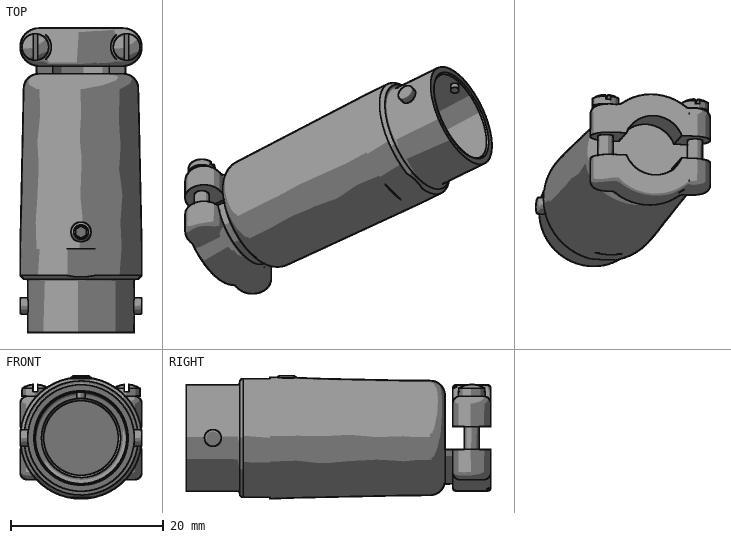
import cadquery as cq
import math


SLEEVE_R = 7.0
SLEEVE_END = 7.0
SLEEVE_ROOT_ROUND = 0.2
COLLAR_R = 8.0
COLLAR_CHAMFER = 0.5
COLLAR_END = 11.0
FLAT_HEIGHT = 7.8

SHELL_REAR_R = 7.55
SHELL_ROUND = 2.0
SHELL_END = 34.0

BORE_R = 6.0
MOUTH_CHAMFER = 0.2
BORE_DEPTH = 8.0
BORE_ROUND = 0.5
RECESS_R = 5.2
RECESS_FLOOR_R = 4.9
KEY_R = 0.55
KEY_Y = 1.05
KEY_TIP_Z = 5.2

PIN_R = 1.1
PIN_Y = 3.5
PIN_TIP_X = COLLAR_R
PIN_ROUND = 0.25

SET_SCREW_Y = 13.2
SET_SCREW_TOP = 8.18
SET_SCREW_R = 1.32
SET_SCREW_END_R = 0.95
SET_SCREW_BEVEL_HEIGHT = 0.24
HEX_FLATS = 1.4
HEX_DEPTH = 1.0

CLAMP_WIDTH = 5.0
CLAMP_START = SHELL_END + 1.0
CLAMP_MID = CLAMP_START + CLAMP_WIDTH / 2
CLAMP_LENGTH = 16.0
CLAMP_GAP = 3.0
EAR_HEIGHT = 5.5
EAR_ROUND = 1.0
ARCH_R = 7.0
ARCH_ROUND = 0.5
ARCH_BLEND = 1.2
CABLE_R = 4.0
NECK_R = 6.05

SCREW_X = 6.0
SHANK_R = 1.0
HEAD_R = 1.75
HEAD_CLEARANCE_R = 2.1
HEAD_SIDE_TOP = 6.5
HEAD_TOP = 7.05
SLOT_WIDTH = 0.6
SLOT_FLOOR = 6.1


def cylinder_y(radius, start, end):
    """Solid cylinder on the part axis."""
    return cq.Workplane("XZ", origin=(0, start, 0)).circle(radius).extrude(start - end)


def cylinder_z(x, y, radius, bottom, top):
    """Solid vertical cylinder."""
    return cq.Workplane("XY", origin=(x, y, bottom)).circle(radius).extrude(top - bottom)


def make_shell():
    """Sleeve, collar and tapered backshell turned in one piece."""
    corner = SHELL_ROUND * math.sqrt(0.5)
    root_r = SLEEVE_R + SLEEVE_ROOT_ROUND
    root_y = SLEEVE_END - SLEEVE_ROOT_ROUND
    root_corner = SLEEVE_ROOT_ROUND * math.sqrt(0.5)
    round_y = SHELL_END - SHELL_ROUND
    round_r = SHELL_REAR_R - SHELL_ROUND
    shell = (
        cq.Workplane("XY")
        .lineTo(-SLEEVE_R, 0)
        .lineTo(-SLEEVE_R, root_y)
        .threePointArc((-root_r + root_corner, root_y + root_corner), (-root_r, SLEEVE_END))
        .lineTo(-COLLAR_R + COLLAR_CHAMFER, SLEEVE_END)
        .lineTo(-COLLAR_R, SLEEVE_END + COLLAR_CHAMFER)
        .lineTo(-COLLAR_R, COLLAR_END)
        .lineTo(-SHELL_REAR_R, round_y)
        .threePointArc((-round_r - corner, round_y + corner), (-round_r, SHELL_END))
        .lineTo(0, SHELL_END)
        .close()
        .revolve(360, (0, 0), (0, 1))
    )
    flat_depth = COLLAR_R - FLAT_HEIGHT
    collar_length = COLLAR_END - SLEEVE_END
    for side in (1, -1):
        shell = shell.cut(
            cq.Workplane("XY")
            .box(2 * COLLAR_R, collar_length, flat_depth)
            .translate((0, SLEEVE_END + collar_length / 2, side * (FLAT_HEIGHT + flat_depth / 2)))
        )
    return shell


def make_bore():
    """Chamfered bore with a rounded bottom and a shallow conical recess."""
    corner = BORE_ROUND * math.sqrt(0.5)
    round_r = BORE_R - BORE_ROUND
    round_y = BORE_DEPTH - BORE_ROUND
    return (
        cq.Workplane("XY")
        .lineTo(-BORE_R - MOUTH_CHAMFER, 0)
        .lineTo(-BORE_R, MOUTH_CHAMFER)
        .lineTo(-BORE_R, round_y)
        .threePointArc((-round_r - corner, round_y + corner), (-round_r, BORE_DEPTH))
        .lineTo(-RECESS_R, BORE_DEPTH)
        .lineTo(-RECESS_FLOOR_R, BORE_DEPTH + RECESS_R - RECESS_FLOOR_R)
        .lineTo(0, BORE_DEPTH + RECESS_R - RECESS_FLOOR_R)
        .close()
        .revolve(360, (0, 0), (0, 1))
    )


def make_key():
    """Small round key reaching down into the bore just inside the mouth."""
    return cylinder_z(0, KEY_Y, KEY_R, KEY_TIP_Z, (BORE_R + SLEEVE_R) / 2)


def make_bayonet_pin(side):
    """Round pin standing out of the sleeve wall on the given X side."""
    root_x = (BORE_R + SLEEVE_R) / 2
    pin = cq.Workplane("YZ").circle(PIN_R).extrude(PIN_TIP_X - root_x)
    pin = pin.faces(">X").edges().fillet(PIN_ROUND).translate((root_x, PIN_Y, 0))
    return pin if side > 0 else pin.mirror("YZ")


def make_set_screw():
    """Round set screw with a bevelled end, standing just above the backshell."""
    base = (SLEEVE_R + SHELL_REAR_R) / 2
    screw = cylinder_z(0, SET_SCREW_Y, SET_SCREW_R, base, SET_SCREW_TOP)
    return screw.faces(">Z").edges().chamfer(SET_SCREW_BEVEL_HEIGHT, SET_SCREW_R - SET_SCREW_END_R)


def make_hex_socket():
    """Hexagon socket with two of its flats square to X."""
    across_corners = HEX_FLATS / math.cos(math.pi / 6)
    return (
        cq.Workplane("XY", origin=(0, SET_SCREW_Y, SET_SCREW_TOP))
        .transformed(rotate=(0, 0, 90))
        .polygon(6, across_corners)
        .extrude(-HEX_DEPTH)
    )


def make_clamp_blank(top):
    """Round-ended block from the upper half's parting face up to the given height."""
    base = CLAMP_GAP / 2
    return (
        cq.Workplane("XY", origin=(0, CLAMP_MID, base))
        .slot2D(CLAMP_LENGTH, CLAMP_WIDTH)
        .extrude(top - base)
    )


def make_clamp_half():
    """Upper clamp half: two rounded ears joined by an arch over the cable."""
    ears = make_clamp_blank(EAR_HEIGHT).faces(">Z").edges().fillet(EAR_ROUND)
    arch = cylinder_y(ARCH_R, CLAMP_START, CLAMP_START + CLAMP_WIDTH).edges().fillet(ARCH_ROUND)
    arch = arch.intersect(make_clamp_blank(ARCH_R))
    half = ears.union(arch)
    seam_x = math.sqrt(ARCH_R**2 - EAR_HEIGHT**2)
    for x in (seam_x, -seam_x):
        seam = cq.selectors.BoxSelector(
            (x - ARCH_ROUND, CLAMP_START, EAR_HEIGHT - ARCH_ROUND),
            (x + ARCH_ROUND, CLAMP_START + CLAMP_WIDTH, EAR_HEIGHT + ARCH_ROUND),
            boundingbox=True,
        )
        half = half.edges(seam).fillet(ARCH_BLEND)
    return half.cut(cylinder_y(CABLE_R, CLAMP_START, CLAMP_START + CLAMP_WIDTH))


def make_neck():
    """Half-round neck joining the lower clamp half to the backshell."""
    neck = cylinder_y(NECK_R, SHELL_END, CLAMP_START)
    neck = neck.cut(cylinder_y(CABLE_R, SHELL_END, CLAMP_START))
    lower = (
        cq.Workplane("XY", origin=(0, SHELL_END, -CLAMP_GAP / 2))
        .rect(2 * NECK_R, 2 * CLAMP_WIDTH)
        .extrude(-NECK_R)
    )
    return neck.intersect(lower)


def make_screw(x):
    """Slotted, domed clamp screw whose shank reaches into the lower ear."""
    dome_rise = HEAD_TOP - HEAD_SIDE_TOP
    dome_r = (HEAD_R**2 + dome_rise**2) / (2 * dome_rise)
    head = cylinder_z(x, CLAMP_MID, HEAD_R, EAR_HEIGHT, HEAD_TOP)
    dome = cq.Workplane("XY").sphere(dome_r).translate((x, CLAMP_MID, HEAD_TOP - dome_r))
    slot_depth = HEAD_TOP - SLOT_FLOOR
    slot = (
        cq.Workplane("XY")
        .box(SLOT_WIDTH, 2 * HEAD_R, slot_depth)
        .translate((x, CLAMP_MID, SLOT_FLOOR + slot_depth / 2))
    )
    shank = cylinder_z(x, CLAMP_MID, SHANK_R, -EAR_HEIGHT / 2, EAR_HEIGHT)
    return head.intersect(dome).cut(slot).union(shank)


def make_clamp():
    """Both clamp halves, the neck and the two screws."""
    upper = make_clamp_half()
    clamp = upper.mirror("XY").union(make_neck())
    for x in (SCREW_X, -SCREW_X):
        upper = upper.cut(cylinder_z(x, CLAMP_MID, HEAD_CLEARANCE_R, EAR_HEIGHT, ARCH_R))
        clamp = clamp.union(make_screw(x))
    return clamp.union(upper)


part = make_shell().union(make_set_screw()).cut(make_hex_socket()).cut(make_bore())
part = part.union(make_key())
for pin_side in (1, -1):
    part = part.union(make_bayonet_pin(pin_side))
result = part.union(make_clamp())